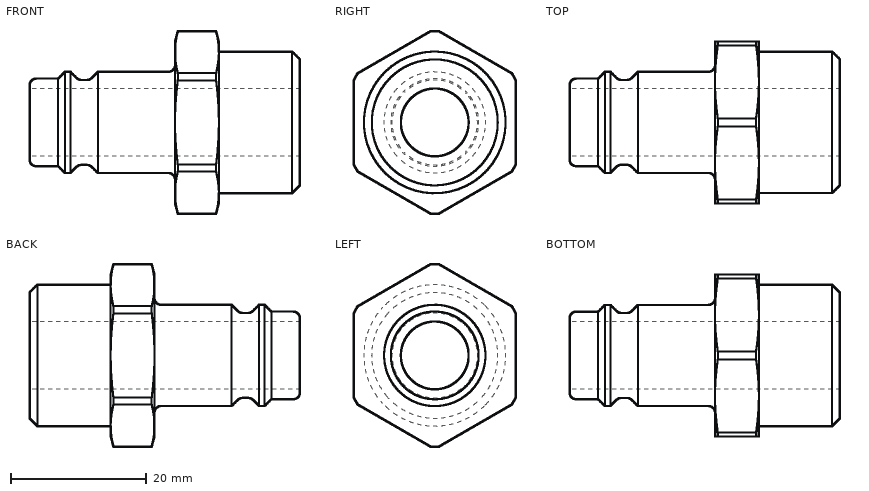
import cadquery as cq
import math

total_length = 40.0
bore_radius = 10.0 / 2
tip_radius = 13.0 / 2
shank_radius = 15.0 / 2
groove_radius = 12.6 / 2
sleeve_radius = 20.95 / 2
round_radius = 1.0

collar_start = 4.25
collar_flat_length = 0.8
groove_flat_length = 0.85

hex_start = 21.5
hex_end = 28.0
hex_across_flats = 24.0
hex_corner_diameter = 27.05
hex_bevel_angle = 15.0
sleeve_chamfer = 1.15

collar_flat_start = collar_start + shank_radius - tip_radius
collar_flat_end = collar_flat_start + collar_flat_length
blend_length = round_radius * math.sin(math.radians(45))
blend_rise = round_radius * (1 - math.cos(math.radians(45)))
blend_radius = groove_radius + blend_rise
cone_length = shank_radius - blend_radius
groove_start = collar_flat_end + cone_length + blend_length
groove_end = groove_start + groove_flat_length
groove_center_radius = groove_radius + round_radius
blend_mid_length = round_radius * math.sin(math.radians(22.5))
blend_mid_radius = groove_center_radius - round_radius * math.cos(math.radians(22.5))
shank_start = groove_end + blend_length + cone_length
quarter_arc_offset = round_radius * (1 - math.cos(math.radians(45)))


def make_turned_body():
    """Solid of revolution: tip, collar, groove, shank and sleeve."""
    root_radius = shank_radius + round_radius
    profile = (
        cq.Workplane("XY")
        .moveTo(0, 0)
        .lineTo(0, tip_radius - round_radius)
        .threePointArc(
            (quarter_arc_offset, tip_radius - quarter_arc_offset),
            (round_radius, tip_radius),
        )
        .lineTo(collar_start, tip_radius)
        .lineTo(collar_flat_start, shank_radius)
        .lineTo(collar_flat_end, shank_radius)
        .lineTo(collar_flat_end + cone_length, blend_radius)
        .threePointArc(
            (groove_start - blend_mid_length, blend_mid_radius),
            (groove_start, groove_radius),
        )
        .lineTo(groove_end, groove_radius)
        .threePointArc(
            (groove_end + blend_mid_length, blend_mid_radius),
            (groove_end + blend_length, blend_radius),
        )
        .lineTo(shank_start, shank_radius)
        .lineTo(hex_start - round_radius, shank_radius)
        .threePointArc(
            (hex_start - quarter_arc_offset, shank_radius + quarter_arc_offset),
            (hex_start, root_radius),
        )
        .lineTo(hex_start, sleeve_radius)
        .lineTo(total_length - sleeve_chamfer, sleeve_radius)
        .lineTo(total_length, sleeve_radius - sleeve_chamfer)
        .lineTo(total_length, 0)
        .close()
    )
    return profile.revolve(360, (0, 0, 0), (1, 0, 0))


def make_hexagon():
    """Wrench hexagon with flats on +/-Y, trimmed corners and bevelled ends."""
    flat_radius = hex_across_flats / 2
    corner_radius = hex_corner_diameter / 2
    bevel_length = (corner_radius - flat_radius) * math.tan(math.radians(hex_bevel_angle))
    sharp_diameter = hex_across_flats / math.cos(math.radians(30))
    prism = (
        cq.Workplane("YZ", origin=(hex_start, 0, 0))
        .transformed(rotate=(0, 0, 30))
        .polygon(6, sharp_diameter)
        .extrude(hex_end - hex_start)
    )
    envelope = (
        cq.Workplane("XY")
        .moveTo(hex_start, 0)
        .lineTo(hex_start, flat_radius)
        .lineTo(hex_start + bevel_length, corner_radius)
        .lineTo(hex_end - bevel_length, corner_radius)
        .lineTo(hex_end, flat_radius)
        .lineTo(hex_end, 0)
        .close()
        .revolve(360, (0, 0, 0), (1, 0, 0))
    )
    return prism.intersect(envelope)


bore = cq.Workplane("YZ").circle(bore_radius).extrude(total_length)

result = make_turned_body().union(make_hexagon()).cut(bore)